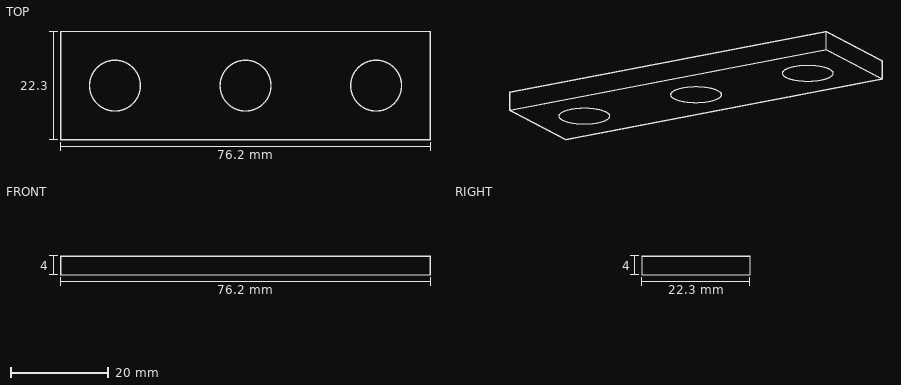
import cadquery as cq

length = 76.2
width = 22.3
thickness = 4.0

hole_diameter = 10.45
hole_pitch = 26.9
hole_count = 3

bar = cq.Workplane("XY").box(length, width, thickness)

result = (
    bar.faces(">Z")
    .workplane()
    .rarray(hole_pitch, width, hole_count, 1)
    .hole(hole_diameter)
)